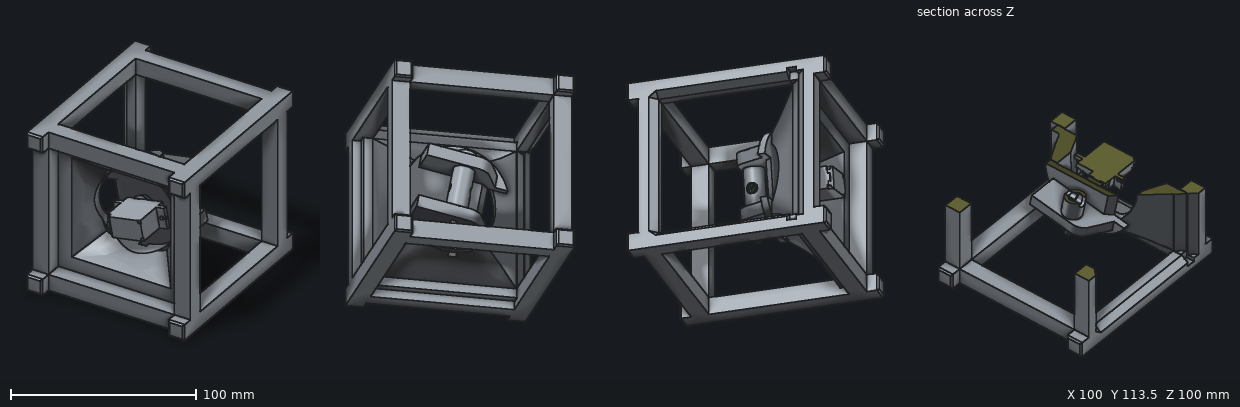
import cadquery as cq
import math

FRAME_LENGTH = 113.5
FRAME_WIDTH = 100.0
BAR = 10.1
OPENING = FRAME_WIDTH - 2 * BAR
HALF_WIDTH = FRAME_WIDTH / 2
HALF_OPENING = OPENING / 2
RAIL_TIP_CHAMFER = 1.0
WINDOW_BEVEL_Y = 4.1
WINDOW_BEVEL_Z = 3.3
WINDOW_BEVEL_DEPTH = 4.3
SLOT_HALF_HEIGHT = 45.5

PLATE_SIDE = 90.1
PLATE_THICKNESS = 5.2
PLATE_FRONT_Y = -HALF_OPENING
PLATE_BACK_Y = PLATE_FRONT_Y + PLATE_THICKNESS
DISC_FRONT_Y = -15.1
FUNNEL_END_DIAMETER = 60.0
MOUTH_SIDE = 62.7
END_WALL = 8.9
BORE_DIAMETER = 50.0
CAVITY_END_CORNER = 19.1
CAVITY_END_MIDDLE = 23.6
NOTCH_WIDTH = 4.7
NOTCH_DEPTH = 3.0
CUT_END_X = -17.7
CUT_TAPER_X = -39.7
PLATE_CUT_X = -40.4
PLATE_CUT_HALF_HEIGHT = 40.2

TILT = 10.6
DISC_THICKNESS = 4.0
DISC_BACK_Y = DISC_FRONT_Y + DISC_THICKNESS
LUG_GAP = 24.1
LUG_THICKNESS = 7.0
LUG_HEIGHT = 18.4
LUG_BASE_LEFT = -20.3
LUG_SHOULDER = -11.4
LUG_RIGHT = 22.7
LUG_ROUND = 9.0
DISC_NOTCH_X = -17.3

PIN_Y = 0.2
PIN_HEAD_DIAMETER = 10.0
PIN_HEAD_HEIGHT = 3.0
PIN_SHANK_DIAMETER = 8.0
PIN_TAIL_DIAMETER = 4.0
PIN_TAIL_LENGTH = 10.0
SLEEVE_DIAMETER = 12.0
CROSS_HOLE_DIAMETER = 4.0
CROSS_BORE_DIAMETER = 6.0

HUB_DIAMETER = 10.0
HUB_LENGTH = 2.7
TOWER_DIAMETER = 12.0
SHAFT_DIAMETER = 4.7
SHAFT_LENGTH = 0.5
TOWER_LENGTH = 3.7
SERVO_LENGTH = 22.7
SERVO_WIDTH = 12.5
SERVO_DEPTH = 23.4
SERVO_END_X = -TOWER_DIAMETER / 2
SERVO_FOOT_X = 2.8
SERVO_FOOT_Y = 2.3
CABLE_WIDTH = 4.2
CABLE_THICKNESS = 1.5
TAB_SPAN = 32.7
TAB_THICKNESS = 2.5
TAB_OFFSET = 4.4
TAB_HOLE_DIAMETER = 2.0
TAB_HOLE_INSET = 2.6
TAB_SLIT = 1.0
SCREW_NOTCH_DIAMETER = 4.0
SCREW_NOTCH_DEPTH = 0.6


def box_between(x_range, y_range, z_range):
    """Box given by its limits along each axis."""
    (x0, x1), (y0, y1), (z0, z1) = x_range, y_range, z_range
    return cq.Workplane("XY").box(x1 - x0, y1 - y0, z1 - z0, centered=False).translate((x0, y0, z0))


def rod_along_y(diameter, y_start, y_end, x=0.0, z=0.0):
    """Round bar parallel to Y."""
    return (cq.Workplane("XZ", origin=(x, y_start, z))
            .circle(diameter / 2).extrude(y_start - y_end))


def rod_along_z(diameter, z_start, z_end):
    """Round bar parallel to Z on the hinge axis."""
    return (cq.Workplane("XY", origin=(0, PIN_Y, z_start))
            .circle(diameter / 2).extrude(z_end - z_start))


def rod_along_x(diameter, x_start, x_end):
    """Round bar parallel to X, crossing the hinge axis at mid height."""
    return (cq.Workplane("YZ", origin=(x_start, PIN_Y, 0))
            .circle(diameter / 2).extrude(x_end - x_start))


def tilt(body):
    """Turn a body from its own upright axes to the tilted hinge axes."""
    return body.rotate((0, 0, 0), (0, 1, 0), -TILT)


def window_chamfer():
    """Widening of the -X window: bevelled corners at the back, one full-height bevel at the front."""
    outer_y = HALF_OPENING + WINDOW_BEVEL_Y
    outer_z = HALF_OPENING + WINDOW_BEVEL_Z
    inner_x = -HALF_WIDTH + WINDOW_BEVEL_DEPTH
    start = cq.Workplane("YZ", origin=(inner_x, 0, 0))
    sides = (start.rect(OPENING, OPENING).workplane(offset=-WINDOW_BEVEL_DEPTH)
             .rect(2 * outer_y, 2 * outer_z).loft(ruled=True))

    def diamond(reach):
        y, z = reach * WINDOW_BEVEL_Y, reach * WINDOW_BEVEL_Z
        return [(y, 0), (0, z), (-y, 0), (0, -z)]

    reach = HALF_OPENING / WINDOW_BEVEL_Y + HALF_OPENING / WINDOW_BEVEL_Z
    corners = (start.polyline(diamond(reach)).close().workplane(offset=-WINDOW_BEVEL_DEPTH)
               .polyline(diamond(reach + 1)).close().loft(ruled=True))
    front_post = (cq.Workplane("XY", origin=(0, 0, -outer_z))
                  .polyline([(-HALF_WIDTH, -HALF_OPENING), (-HALF_WIDTH, -outer_y), (inner_x, -HALF_OPENING)])
                  .close().extrude(2 * outer_z))
    return sides.intersect(corners).union(front_post)


def make_frame():
    rail_centre = HALF_WIDTH - BAR / 2
    frame = cq.Workplane("XY").box(FRAME_WIDTH, FRAME_WIDTH, FRAME_WIDTH)
    for x in (-rail_centre, rail_centre):
        for z in (-rail_centre, rail_centre):
            rail = (cq.Workplane("XY").box(BAR, FRAME_LENGTH, BAR)
                    .faces("<Y or >Y").chamfer(RAIL_TIP_CHAMFER))
            frame = frame.union(rail.translate((x, 0, z)))
    for size in ((FRAME_LENGTH, OPENING, OPENING),
                 (OPENING, FRAME_LENGTH, OPENING),
                 (OPENING, OPENING, FRAME_LENGTH)):
        frame = frame.cut(cq.Workplane("XY").box(*size))
    frame = frame.cut(window_chamfer())
    slot = box_between((-HALF_WIDTH, SLOT_HALF_HEIGHT), (PLATE_FRONT_Y, PLATE_BACK_Y),
                       (-SLOT_HALF_HEIGHT, SLOT_HALF_HEIGHT))
    return frame.cut(slot)


def square_wire(half, y):
    """Square in the plane at y, started at its upper +X corner."""
    corners = [cq.Vector(x, y, z) for x, z in ((half, half), (-half, half), (-half, -half), (half, -half))]
    return cq.Wire.makePolygon(corners, close=True)


def bulged_wire(corner, middle, y):
    """Square of four outward arcs, each from corner to corner through the middle of a side."""
    points = ((corner, corner), (0, middle), (-corner, corner), (-middle, 0),
              (-corner, -corner), (0, -middle), (corner, -corner), (middle, 0))
    spots = [cq.Vector(x, y, z) for x, z in points]
    arcs = [cq.Edge.makeThreePointArc(spots[i], spots[i + 1], spots[(i + 2) % len(spots)])
            for i in range(0, len(spots), 2)]
    return cq.Wire.assembleEdges(arcs)


def loft_between(first, second):
    """Solid with straight-line sides between two outlines."""
    return cq.Workplane(obj=cq.Solid.makeLoft([first, second], True))


def side_cut():
    """Slanted cuts on the -X side: one on the taper, and one on the plate between its ears."""
    taper = (cq.Workplane("XY", origin=(0, 0, -HALF_WIDTH))
             .polyline([(CUT_END_X, DISC_FRONT_Y), (-HALF_WIDTH, DISC_FRONT_Y),
                        (-HALF_WIDTH, PLATE_BACK_Y), (CUT_TAPER_X, PLATE_BACK_Y)])
             .close().extrude(FRAME_WIDTH))
    plate = (cq.Workplane("XY", origin=(0, 0, -PLATE_CUT_HALF_HEIGHT))
             .polyline([(PLATE_CUT_X, PLATE_BACK_Y), (-HALF_WIDTH, PLATE_BACK_Y),
                        (-HALF_WIDTH, PLATE_FRONT_Y), (PLATE_CUT_X - PLATE_THICKNESS, PLATE_FRONT_Y)])
             .close().extrude(2 * PLATE_CUT_HALF_HEIGHT))
    return taper.union(plate)


def make_funnel():
    end_radius = FUNNEL_END_DIAMETER / 2
    end_corner = end_radius / math.sqrt(2)
    cavity_end_y = DISC_FRONT_Y - END_WALL
    half_plate = PLATE_SIDE / 2
    plate = box_between((-half_plate, half_plate), (PLATE_FRONT_Y, PLATE_BACK_Y), (-half_plate, half_plate))
    shell = loft_between(square_wire(HALF_OPENING, PLATE_BACK_Y),
                         bulged_wire(end_corner, end_radius, DISC_FRONT_Y))
    cavity = loft_between(square_wire(MOUTH_SIDE / 2, PLATE_FRONT_Y),
                          bulged_wire(CAVITY_END_CORNER, CAVITY_END_MIDDLE, cavity_end_y))
    funnel = plate.union(shell).cut(cavity)
    funnel = funnel.cut(rod_along_y(BORE_DIAMETER, DISC_FRONT_Y, PLATE_FRONT_Y))
    notches = box_between((-NOTCH_WIDTH / 2, NOTCH_WIDTH / 2), (DISC_FRONT_Y - NOTCH_DEPTH, DISC_FRONT_Y),
                          (-HALF_WIDTH, HALF_WIDTH))
    return funnel.cut(notches).cut(side_cut())


def make_hinge_disc():
    half_gap = LUG_GAP / 2
    top_y = DISC_BACK_Y + LUG_HEIGHT
    disc = rod_along_y(FUNNEL_END_DIAMETER, DISC_FRONT_Y, DISC_BACK_Y)
    rim_notch = (cq.Workplane("XY", origin=(0, 0, -half_gap))
                 .polyline([(-FUNNEL_END_DIAMETER, DISC_FRONT_Y), (DISC_NOTCH_X, DISC_FRONT_Y),
                            (DISC_NOTCH_X + DISC_THICKNESS, DISC_BACK_Y), (-FUNNEL_END_DIAMETER, DISC_BACK_Y)])
                 .close().extrude(LUG_GAP))
    disc = disc.cut(rim_notch)
    lug = (cq.Workplane("XY", origin=(0, 0, half_gap))
           .polyline([(LUG_BASE_LEFT, DISC_BACK_Y), (LUG_SHOULDER, top_y),
                      (LUG_RIGHT, top_y), (LUG_RIGHT, DISC_BACK_Y)])
           .close().extrude(LUG_THICKNESS)
           .edges("|Z").edges(cq.NearestToPointSelector((LUG_SHOULDER, top_y, half_gap)))
           .fillet(LUG_ROUND))
    disc = disc.union(lug).union(lug.mirror("XY"))
    return disc.cut(pin_blank())


def pin_blank():
    """Headed pin without its cross hole."""
    lug_outer = LUG_GAP / 2 + LUG_THICKNESS
    head = rod_along_z(PIN_HEAD_DIAMETER, lug_outer, lug_outer + PIN_HEAD_HEIGHT)
    shank = rod_along_z(PIN_SHANK_DIAMETER, -LUG_GAP / 2, lug_outer)
    tail = rod_along_z(PIN_TAIL_DIAMETER, -lug_outer - PIN_TAIL_LENGTH, -LUG_GAP / 2)
    return head.union(shank).union(tail)


def cross_hole():
    """Stepped hole through sleeve and pin, with its step at the hinge axis."""
    reach = SLEEVE_DIAMETER / 2
    return rod_along_x(CROSS_BORE_DIAMETER, -reach, 0).union(rod_along_x(CROSS_HOLE_DIAMETER, 0, reach))


def make_pin():
    return pin_blank().cut(cross_hole())


def make_sleeve():
    sleeve = rod_along_z(SLEEVE_DIAMETER, -LUG_GAP / 2, LUG_GAP / 2)
    sleeve = sleeve.cut(rod_along_z(PIN_SHANK_DIAMETER, -LUG_GAP / 2, LUG_GAP / 2))
    return sleeve.cut(cross_hole())


HUB_END_Y = DISC_FRONT_Y - HUB_LENGTH
TOWER_TOP_Y = HUB_END_Y - SHAFT_LENGTH
BODY_BACK_Y = TOWER_TOP_Y - TOWER_LENGTH
BODY_FRONT_Y = BODY_BACK_Y - SERVO_DEPTH


def make_hub():
    return rod_along_y(HUB_DIAMETER, DISC_FRONT_Y, HUB_END_Y)


def make_tabs():
    """Mounting ears, each with a hole slit open to its end."""
    centre_x = SERVO_END_X + SERVO_LENGTH / 2
    tab_back = BODY_BACK_Y - TAB_OFFSET
    tab_front = tab_back - TAB_THICKNESS
    tabs = box_between((centre_x - TAB_SPAN / 2, centre_x + TAB_SPAN / 2), (tab_front, tab_back),
                       (-SERVO_WIDTH / 2, SERVO_WIDTH / 2))
    for side in (-1, 1):
        end_x = centre_x + side * TAB_SPAN / 2
        hole_x = end_x - side * TAB_HOLE_INSET
        slit = box_between(sorted((hole_x, end_x)), (tab_front, tab_back), (-TAB_SLIT / 2, TAB_SLIT / 2))
        tabs = tabs.cut(rod_along_y(TAB_HOLE_DIAMETER, tab_back, tab_front, hole_x)).cut(slit)
    return tabs


def make_servo():
    half_width = SERVO_WIDTH / 2
    far_x = SERVO_END_X + SERVO_LENGTH
    body = (cq.Workplane("XY", origin=(0, 0, -half_width))
            .polyline([(SERVO_END_X, BODY_BACK_Y), (far_x, BODY_BACK_Y), (far_x, BODY_FRONT_Y),
                       (SERVO_END_X + SERVO_FOOT_X, BODY_FRONT_Y), (SERVO_END_X, BODY_FRONT_Y + SERVO_FOOT_Y)])
            .close().extrude(SERVO_WIDTH))
    for x, depth in ((SERVO_END_X, SERVO_FOOT_Y + SCREW_NOTCH_DEPTH), (far_x, SCREW_NOTCH_DEPTH)):
        for z in (-half_width, half_width):
            body = body.cut(rod_along_y(SCREW_NOTCH_DIAMETER, BODY_FRONT_Y + depth, BODY_FRONT_Y, x, z))
    cable = box_between((SERVO_END_X, SERVO_END_X + CABLE_THICKNESS),
                        (BODY_FRONT_Y + SERVO_FOOT_Y / 2, BODY_BACK_Y), (-CABLE_WIDTH / 2, CABLE_WIDTH / 2))
    tower = rod_along_y(TOWER_DIAMETER, TOWER_TOP_Y, BODY_BACK_Y)
    shaft = rod_along_y(SHAFT_DIAMETER, HUB_END_Y, TOWER_TOP_Y)
    return body.union(cable).union(tower).union(shaft).union(make_tabs())


frame = make_frame()
funnel = make_funnel()
hinge_disc = tilt(make_hinge_disc())
pin = tilt(make_pin())
sleeve = tilt(make_sleeve())
hub = tilt(make_hub())
servo = tilt(make_servo())

bodies = [frame, funnel, hinge_disc, pin, sleeve, hub, servo]
result = cq.Compound.makeCompound([body.solids().val() for body in bodies])